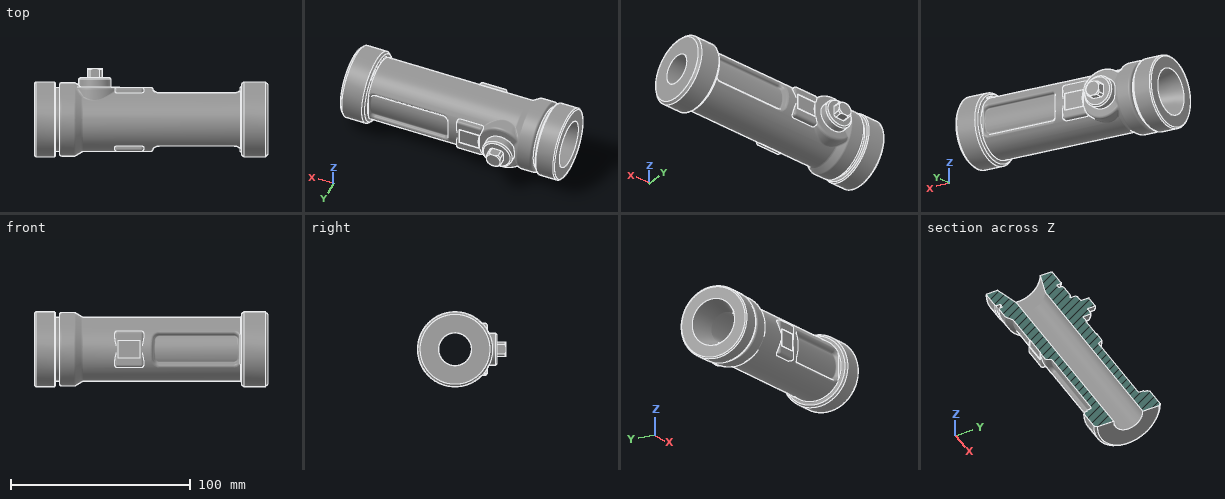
import cadquery as cq

LENGTH = 130.0
FLANGE_R = 20.955
BODY_R = 17.9

COLLAR_CHAMFER = 0.75
COLLAR_END = 11.8
RING_START = 13.9
RING_R = 20.5
RING_FILLET = 1.3
RING_END = 22.6
CONE_END = 26.8
CONE_FILLET = 1.5
CONE_LAND = 1.0

FLANGE_START = 115.2
FLANGE_ROOT_FILLET = 0.9
ROOT_SINK = 0.05
FLANGE_FACE_R = 19.8
FLANGE_FULL_START = 116.5
FLANGE_END_CHAMFER = 1.5

BORE_R = 9.07
MOUTH_R = 13.45
MOUTH_DEPTH = 14.4

STEM_X = 33.65
BASE_R = 14.6
BASE_TOP = 18.0
BASE_TOP_FILLET = 1.6
BASE_ROOT_FILLET = 1.2
BOSS_R = 9.0
BOSS_TOP = 23.4
BOSS_CHAMFER = 0.9
OVERALL_Y = 49.35
STEM_TOP = OVERALL_Y - FLANGE_R
STEM_SQUARE = 8.2
STEM_CORNER_R = 4.9
STEM_CHAMFER = 0.7

PAD_START = 44.6
PAD_END = 60.9
PAD_HEIGHT = 20.4
PAD_CORNER_R = 1.6
PAD_EDGE_FILLET = 1.5
PANEL_START = 46.6
PANEL_END = 58.8
PANEL_HEIGHT = 9.8
PANEL_DEPTH = 0.3

RECESS_START = 67.6
RECESS_END = 113.0
RECESS_HEIGHT = 15.0
RECESS_CORNER_R = 2.0
RECESS_DRAFT = 20.0
RECESS_BASE_Y = 12.5
RECESS_FLOOR_R = 14.85
RECESS_FLOOR_FILLET = 0.7
RECESS_RIM_FILLET = 1.5


def cylinder_y(radius, height):
    """Cylinder about the stem axis from the XZ plane up to y = height."""
    foot = cq.Vector(STEM_X, 0, 0)
    return cq.Workplane(cq.Solid.makeCylinder(radius, height, foot, cq.Vector(0, 1, 0)))


def block_y(x_start, x_end, height, y_start, y_end):
    """Block centred on z = 0 between the given x and y limits."""
    size = (x_end - x_start, y_end - y_start, height)
    centre = ((x_start + x_end) / 2, (y_start + y_end) / 2, 0)
    return cq.Workplane("XY").box(*size).translate(centre)


def cylinder_x(radius):
    """Full-length cylinder about X; its seam is turned to Z so that it misses the side features."""
    cylinder = cq.Workplane("YZ").circle(radius).extrude(LENGTH)
    return cylinder.rotate((0, 0, 0), (1, 0, 0), 90)


def revolved(outline):
    """Solid of revolution about X of an (x, radius) outline."""
    return outline.close().revolve(360, (0, 0, 0), (1, 0, 0))


def on_both_sides(feature):
    return feature.union(feature.mirror("XZ"))


def inlet_end():
    """Collar, groove and ring, with a cone running down to the barrel."""
    solid = revolved(
        cq.Workplane("XZ")
        .lineTo(0, FLANGE_R - COLLAR_CHAMFER)
        .lineTo(COLLAR_CHAMFER, FLANGE_R)
        .lineTo(COLLAR_END - COLLAR_CHAMFER, FLANGE_R)
        .lineTo(COLLAR_END, FLANGE_R - COLLAR_CHAMFER)
        .lineTo(COLLAR_END, BODY_R)
        .lineTo(RING_START, BODY_R)
        .lineTo(RING_START, RING_R - RING_FILLET)
        .radiusArc((RING_START + RING_FILLET, RING_R), RING_FILLET)
        .lineTo(RING_END, RING_R)
        .lineTo(CONE_END, BODY_R)
        .lineTo(CONE_END + CONE_LAND, BODY_R)
        .lineTo(CONE_END + CONE_LAND, 0)
    )
    probe = CONE_LAND / 2
    cone_rims = cq.selectors.BoxSelector(
        (RING_END - probe, -probe, -probe),
        (CONE_END + probe, probe, probe),
    )
    return solid.edges("%CIRCLE").edges(cone_rims).fillet(CONE_FILLET)


def outlet_flange():
    """Chamfered flange whose root curves into the barrel."""
    root_start = FLANGE_START - FLANGE_ROOT_FILLET
    root_r = BODY_R - ROOT_SINK
    return revolved(
        cq.Workplane("XZ")
        .moveTo(root_start, 0)
        .lineTo(root_start, root_r)
        .radiusArc((FLANGE_START, root_r + FLANGE_ROOT_FILLET), -FLANGE_ROOT_FILLET)
        .lineTo(FLANGE_START, FLANGE_FACE_R)
        .lineTo(FLANGE_FULL_START, FLANGE_R)
        .lineTo(LENGTH - FLANGE_END_CHAMFER, FLANGE_R)
        .lineTo(LENGTH, FLANGE_R - FLANGE_END_CHAMFER)
        .lineTo(LENGTH, 0)
    )


def recess_cutter():
    """Drafted pocket on the -Y side with a floor that follows the barrel."""
    pocket = (
        cq.Workplane("XZ", origin=(0, -RECESS_BASE_Y, 0))
        .center((RECESS_START + RECESS_END) / 2, 0)
        .sketch()
        .rect(RECESS_END - RECESS_START, RECESS_HEIGHT)
        .vertices()
        .fillet(RECESS_CORNER_R)
        .finalize()
        .extrude(FLANGE_R - RECESS_BASE_Y, taper=-RECESS_DRAFT)
        .cut(cylinder_x(RECESS_FLOOR_R))
    )
    floor = pocket.faces("%CYLINDER").faces(">Y")
    return floor.edges().fillet(RECESS_FLOOR_FILLET)


def recessed_barrel():
    """Barrel with both grip recesses, their rims rounded."""
    barrel = cylinder_x(BODY_R).cut(on_both_sides(recess_cutter()))
    skin = max(barrel.faces("%CYLINDER").vals(), key=lambda face: face.Area())
    rims = [edge for wire in skin.innerWires() for edge in wire.Edges()]
    return barrel.newObject(rims).fillet(RECESS_RIM_FILLET)


def marking_pad():
    """Raised pad on the -Y side with rounded edges."""
    pad = block_y(PAD_START, PAD_END, PAD_HEIGHT, -BODY_R, -BODY_R / 2)
    pad = pad.edges("|Y").fillet(PAD_CORNER_R)
    return pad.faces("<Y").edges().fillet(PAD_EDGE_FILLET)


def marking_panel():
    """Shallow sunk panel in the face of the -Y pad."""
    return block_y(PANEL_START, PANEL_END, PANEL_HEIGHT, -BODY_R, PANEL_DEPTH - BODY_R)


def valve_base():
    return cylinder_y(BASE_R, BASE_TOP).faces(">Y").edges().fillet(BASE_TOP_FILLET)


def with_valve_base(tube):
    """Tube with the base added and its side blended into the tube."""
    joined = tube.union(valve_base())
    side = cq.selectors.BoxSelector(
        (STEM_X - BOSS_R, BODY_R / 2, -BASE_R),
        (STEM_X + BOSS_R, BASE_TOP, BASE_R),
    )
    below_top_fillet = cq.selectors.BoxSelector(
        (0, 0, -BASE_R),
        (LENGTH, BASE_TOP - BASE_TOP_FILLET, BASE_R),
    )
    root = joined.faces("%CYLINDER").faces(side).edges("%BSPLINE").edges(below_top_fillet)
    return root.fillet(BASE_ROOT_FILLET)


def valve_boss():
    return cylinder_y(BOSS_R, BOSS_TOP).faces(">Y").chamfer(BOSS_CHAMFER)


def valve_stem():
    """Square stem with turned corners."""
    half = STEM_SQUARE / 2
    square = block_y(STEM_X - half, STEM_X + half, STEM_SQUARE, 0, STEM_TOP)
    turned = cylinder_y(STEM_CORNER_R, STEM_TOP).faces(">Y").chamfer(STEM_CHAMFER)
    return square.intersect(turned)


def bore():
    """Through hole with the conical mouth at x = 0."""
    mouth = cq.Solid.makeCone(MOUTH_R, BORE_R, MOUTH_DEPTH, cq.Vector(0, 0, 0), cq.Vector(1, 0, 0))
    return cylinder_x(BORE_R).union(cq.Workplane(mouth))


tube = recessed_barrel().union(inlet_end()).union(outlet_flange())
result = (
    with_valve_base(tube)
    .union(on_both_sides(marking_pad()))
    .union(valve_boss())
    .union(valve_stem())
    .cut(on_both_sides(marking_panel()))
    .cut(bore())
)